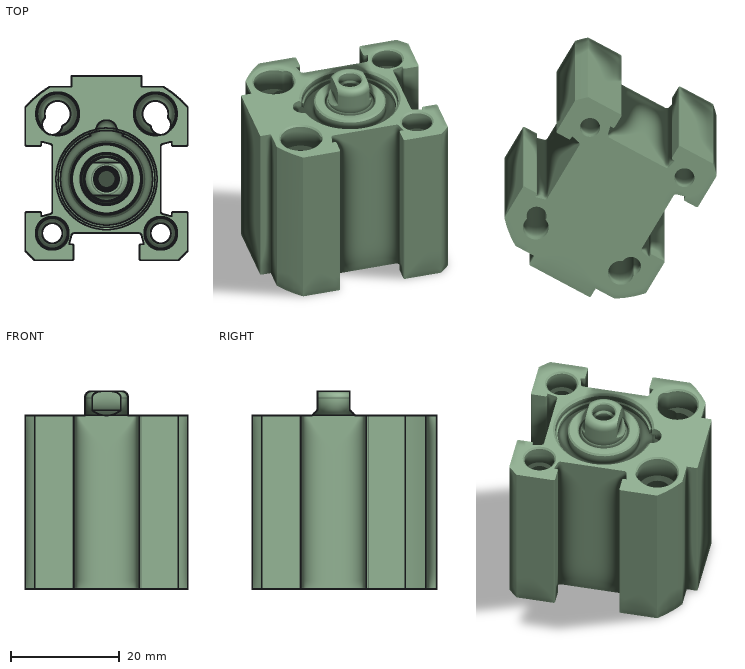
import cadquery as cq
import math


TOTAL_HEIGHT = 36.5
HOUSING_HEIGHT = 32.0

HALF_WIDTH = 15.0
CORNER_ARC_RADIUS = 20.0
WEB_DISTANCE = 10.0
LIP_DEPTH = 12.0
LIP_HALF_OPENING = 6.05
UNDERCUT_HALF_WIDTH = 6.85
FLOOR_HALF_WIDTH = 6.35
LIP_RADIUS = 0.3
SLOT_CORNER_RADIUS = 0.5
SHOULDER_Y = 17.0
RAIL_Y = 19.0
RAIL_HALF_WIDTH = 6.5
RAIL_RADIUS = 0.2

BORE_DIAMETER = 17.9
BORE_CHAMFER = 0.4
GROOVE_DIAMETER = 19.0
RING_THICKNESS = 1.0
LIP_HEIGHT = 1.5
RING_TOP = HOUSING_HEIGHT - LIP_HEIGHT
GROOVE_FLOOR = RING_TOP - RING_THICKNESS
COLLAR_FLANGE_TOP = 29.27
COLLAR_BOTTOM = 21.9
SEAT_CHAMFER = 0.47
NOTCH_DIAMETER = 3.85

BOLT_OFFSET = 10.0
BOLT_HOLE_DIAMETER = 3.7
SMALL_COUNTERBORE = 5.6
SMALL_COUNTERBORE_DEPTH = 3.8
LARGE_HOLE_X = 9.0
LARGE_HOLE_Y = 12.0
LARGE_HOLE_DIAMETER = 4.7
LARGE_COUNTERBORE = 7.45
LARGE_COUNTERBORE_DEPTH = 4.6
MOUTH_CHAMFER = 0.3

RING_INNER_DIAMETER = 17.0
RING_GAP_APEX_Y = 5.7
RING_GAP_HALF_ANGLE = 51

COLLAR_TOP = 31.75
COLLAR_BOSS_DIAMETER = 13.2
COLLAR_BASE_FILLET = 0.4
COLLAR_CHAMFER = 0.3
SEAL_DIAMETER = 9.2
COLLAR_MOUTH_CHAMFER = 0.25

SEAL_TOP = 31.7
SEAL_BOTTOM = 28.47
SEAL_LIP_DIAMETER = 8.43
SEAL_LIP_HEIGHT = 0.65

ROD_DIAMETER = 8.0
ROD_FILLET = 1.2
ROD_FLATS = 6.0
ROD_FLAT_BOTTOM = 33.0
ROD_RECESS_DIAMETER = 4.25
ROD_RECESS_DEPTH = 1.85
ROD_RECESS_CHAMFER = 0.22
ROD_THREAD_DIAMETER = 3.25
ROD_THREAD_CHAMFER = 0.22
ROD_THREAD_DEPTH = 4


def disk(diameter, bottom, top, x=0, y=0):
    """Vertical cylinder between two heights."""
    return cq.Workplane("XY", origin=(x, y, bottom)).circle(diameter / 2).extrude(top - bottom)


def cone(bottom_diameter, top_diameter, bottom, top, x=0, y=0):
    """Vertical cone frustum between two heights."""
    solid = cq.Solid.makeCone(
        bottom_diameter / 2, top_diameter / 2, top - bottom, cq.Vector(x, y, bottom)
    )
    return cq.Workplane(obj=solid)


def mouth_chamfer(diameter, size, top, x=0, y=0):
    """Cutter for a 45 degree chamfer at the mouth of a hole."""
    return cone(diameter, diameter + 2 * size, top - size, top, x, y)


def housing_blank():
    """Housing block and its rear rail, trimmed at the corners by one round envelope."""
    depth = HALF_WIDTH + SHOULDER_Y
    block = (
        cq.Workplane("XY")
        .rect(2 * HALF_WIDTH, depth)
        .extrude(HOUSING_HEIGHT)
        .translate((0, SHOULDER_Y - depth / 2, 0))
    )
    block = block.intersect(disk(2 * CORNER_ARC_RADIUS, 0, HOUSING_HEIGHT))
    rail = (
        cq.Workplane("XY")
        .rect(2 * RAIL_HALF_WIDTH, RAIL_Y)
        .extrude(HOUSING_HEIGHT)
        .translate((0, RAIL_Y / 2, 0))
    )
    rail = rail.edges("|Z and >Y").fillet(RAIL_RADIUS)
    return block.union(rail)


def slot(angle):
    """Undercut sensor slot along Z; at angle 0 it opens to +X."""
    upper_side = [
        (WEB_DISTANCE, FLOOR_HALF_WIDTH),
        (LIP_DEPTH, UNDERCUT_HALF_WIDTH),
        (LIP_DEPTH, LIP_HALF_OPENING),
        (HALF_WIDTH, LIP_HALF_OPENING),
    ]
    lower_side = [(x, -y) for x, y in reversed(upper_side)]
    cutter = cq.Workplane("XY").polyline(upper_side + lower_side).close().extrude(HOUSING_HEIGHT)
    cutter = cutter.edges("|Z and <X").fillet(SLOT_CORNER_RADIUS)
    return cutter.rotate((0, 0, 0), (0, 0, 1), angle)


def slotted_block():
    """Housing block with a slot on three sides and rounded slot lips."""
    block = housing_blank()
    for angle in (0, 180, 270):
        block = block.cut(slot(angle))
    lip_corners = []
    for distance in (LIP_DEPTH, HALF_WIDTH):
        for side in (-1, 1):
            lip_corners += [
                (distance, side * LIP_HALF_OPENING),
                (-distance, side * LIP_HALF_OPENING),
                (side * LIP_HALF_OPENING, -distance),
            ]
    for x, y in lip_corners:
        edge = cq.selectors.NearestToPointSelector((x, y, HOUSING_HEIGHT / 2))
        block = block.edges("|Z").edges(edge).fillet(LIP_RADIUS)
    return block


def bore_cutter():
    """Collar seat, retaining ring groove, chamfered mouth and the release notch beside it."""
    cutter = disk(BORE_DIAMETER, COLLAR_BOTTOM, HOUSING_HEIGHT)
    cutter = cutter.union(disk(GROOVE_DIAMETER, GROOVE_FLOOR, RING_TOP))
    seat_mouth = BORE_DIAMETER + 2 * SEAT_CHAMFER
    cutter = cutter.union(cone(BORE_DIAMETER, seat_mouth, COLLAR_FLANGE_TOP, GROOVE_FLOOR))
    cutter = cutter.union(mouth_chamfer(BORE_DIAMETER, BORE_CHAMFER, HOUSING_HEIGHT))
    return cutter.union(disk(NOTCH_DIAMETER, GROOVE_FLOOR, HOUSING_HEIGHT, y=BORE_DIAMETER / 2))


def counterbored_hole(x, y, hole, counterbore, depth):
    """Cutter for a through hole with a chamfered counterbore at the top."""
    cutter = disk(hole, 0, HOUSING_HEIGHT, x, y)
    cutter = cutter.union(disk(counterbore, HOUSING_HEIGHT - depth, HOUSING_HEIGHT, x, y))
    return cutter.union(mouth_chamfer(counterbore, MOUTH_CHAMFER, HOUSING_HEIGHT, x, y))


def mounting_holes(side):
    """Cutters for the holes on one side: front bolt hole, large hole and rear bolt hole.

    The rear bolt hole breaks into the large counterbore beside it.
    """
    bolt_x = side * BOLT_OFFSET
    large_x = side * LARGE_HOLE_X
    return [
        counterbored_hole(
            bolt_x, -BOLT_OFFSET, BOLT_HOLE_DIAMETER, SMALL_COUNTERBORE, SMALL_COUNTERBORE_DEPTH
        ),
        counterbored_hole(
            large_x, LARGE_HOLE_Y, LARGE_HOLE_DIAMETER, LARGE_COUNTERBORE, LARGE_COUNTERBORE_DEPTH
        ),
        disk(BOLT_HOLE_DIAMETER, 0, HOUSING_HEIGHT, bolt_x, BOLT_OFFSET),
    ]


def make_housing():
    body = slotted_block().cut(bore_cutter())
    for side in (-1, 1):
        for cutter in mounting_holes(side):
            body = body.cut(cutter)
    return body


def make_retaining_ring():
    """Open ring in the housing groove, with a wedge-shaped gap toward +Y."""
    ring = disk(GROOVE_DIAMETER, GROOVE_FLOOR, RING_TOP)
    ring = ring.cut(disk(RING_INNER_DIAMETER, GROOVE_FLOOR, RING_TOP))
    gap_height = GROOVE_DIAMETER / 2 - RING_GAP_APEX_Y
    gap_half_width = gap_height * math.tan(math.radians(RING_GAP_HALF_ANGLE))
    gap = (
        cq.Workplane("XY", origin=(0, RING_GAP_APEX_Y, GROOVE_FLOOR))
        .polyline([(0, 0), (gap_half_width, gap_height), (-gap_half_width, gap_height)])
        .close()
        .extrude(RING_THICKNESS)
    )
    return ring.cut(gap)


def make_collar():
    """Flanged rod guide with a bore for the rod and a recess for the seal."""
    flange = disk(BORE_DIAMETER, COLLAR_BOTTOM, COLLAR_FLANGE_TOP)
    boss = disk(COLLAR_BOSS_DIAMETER, COLLAR_FLANGE_TOP, COLLAR_TOP)
    boss = boss.faces(">Z").edges().chamfer(COLLAR_CHAMFER)
    collar = flange.union(boss)
    boss_foot = collar.faces("+Z").faces("<Z").edges(cq.selectors.RadiusNthSelector(0))
    collar = boss_foot.fillet(COLLAR_BASE_FILLET)
    collar = collar.cut(disk(ROD_DIAMETER, COLLAR_BOTTOM, COLLAR_TOP))
    collar = collar.cut(disk(SEAL_DIAMETER, SEAL_BOTTOM, COLLAR_TOP))
    return collar.cut(mouth_chamfer(SEAL_DIAMETER, COLLAR_MOUTH_CHAMFER, COLLAR_TOP))


def make_seal():
    """Rod seal whose lip tapers toward the rod at the top."""
    lip_bottom = SEAL_TOP - SEAL_LIP_HEIGHT
    seal = disk(SEAL_DIAMETER, SEAL_BOTTOM, lip_bottom)
    seal = seal.union(cone(SEAL_DIAMETER, SEAL_LIP_DIAMETER, lip_bottom, SEAL_TOP))
    return seal.cut(disk(ROD_DIAMETER, SEAL_BOTTOM, SEAL_TOP))


def rod_flat_cutter(side):
    """Wrench flat on the +Y or -Y side of the rod, running out at 45 degrees below."""
    flat_y = ROD_FLATS / 2
    runout = ROD_DIAMETER / 2 - flat_y
    outline = [
        (side * flat_y, TOTAL_HEIGHT),
        (side * flat_y, ROD_FLAT_BOTTOM),
        (side * (flat_y + runout), ROD_FLAT_BOTTOM - runout),
        (side * (flat_y + runout), TOTAL_HEIGHT),
    ]
    return cq.Workplane("YZ").polyline(outline).close().extrude(ROD_DIAMETER / 2, both=True)


def make_rod():
    rod = disk(ROD_DIAMETER, COLLAR_BOTTOM, TOTAL_HEIGHT)
    rod = rod.faces(">Z").edges().fillet(ROD_FILLET)
    for side in (-1, 1):
        rod = rod.cut(rod_flat_cutter(side))
    recess_floor = TOTAL_HEIGHT - ROD_RECESS_DEPTH
    rod = rod.cut(disk(ROD_RECESS_DIAMETER, recess_floor, TOTAL_HEIGHT))
    rod = rod.cut(mouth_chamfer(ROD_RECESS_DIAMETER, ROD_RECESS_CHAMFER, TOTAL_HEIGHT))
    rod = rod.cut(disk(ROD_THREAD_DIAMETER, recess_floor - ROD_THREAD_DEPTH, recess_floor))
    return rod.cut(mouth_chamfer(ROD_THREAD_DIAMETER, ROD_THREAD_CHAMFER, recess_floor))


housing = make_housing()
retaining_ring = make_retaining_ring()
collar = make_collar()
seal = make_seal()
rod = make_rod()

result = cq.Compound.makeCompound(
    [housing.val(), retaining_ring.val(), collar.val(), seal.val(), rod.val()]
)